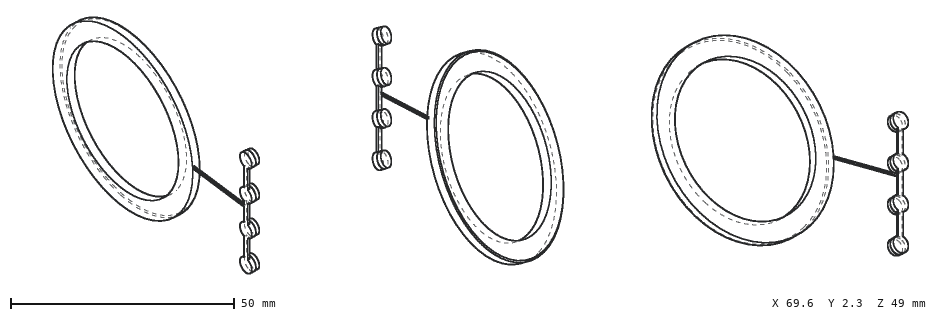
import cadquery as cq

overall_length = 69.6
ring_outer_radius = 24.5
ring_inner_radius = 19.5
thickness = 2.3
bevel_radial = 0.4
bevel_depth = 0.2

pad_radius = 2.1
pad_rear_radius = 2.0
pad_step_depth = 1.25
pad_count = 4
pad_pitch = 10.0
bar_width = 1.3
bar_depth = 0.6
pad_center_x = overall_length - ring_outer_radius - pad_radius
pad_row_height = (pad_count - 1) * pad_pitch

wire_size = 0.5
wire_center_z = 1.6


def make_ring():
    """Revolve the ring section, bevelled on its outer rear edge."""
    section = (
        cq.Workplane("XY")
        .moveTo(ring_inner_radius, 0)
        .lineTo(ring_outer_radius, 0)
        .lineTo(ring_outer_radius, thickness - bevel_depth)
        .lineTo(ring_outer_radius - bevel_radial, thickness)
        .lineTo(ring_inner_radius, thickness)
        .close()
    )
    return section.revolve(360, (0, 0, 0), (0, 1, 0))


def make_discs(radius, depth):
    """Evenly spaced discs from the front plane, centred on the ring's height."""
    discs = cq.Workplane("XZ")
    for index in range(pad_count):
        disc_z = index * pad_pitch - pad_row_height / 2
        discs = discs.moveTo(pad_center_x, disc_z).circle(radius)
    return discs.extrude(-depth)


def make_pads():
    """Stepped pads: a wider front disc with a slightly narrower disc behind it."""
    front_discs = make_discs(pad_radius, pad_step_depth)
    return front_discs.union(make_discs(pad_rear_radius, thickness))


def make_bar():
    """Flat bar running from the lowest pad centre to the highest."""
    return (
        cq.Workplane("XZ")
        .center(pad_center_x, 0)
        .rect(bar_width, pad_row_height)
        .extrude(-bar_depth)
    )


def make_wire():
    """Wire from the middle of the ring's rim to the centre of the bar."""
    start_x = (ring_inner_radius + ring_outer_radius) / 2
    length = pad_center_x - start_x
    return (
        cq.Workplane("XZ")
        .center(start_x + length / 2, wire_center_z)
        .rect(length, wire_size)
        .extrude(-wire_size)
    )


result = make_ring().union(make_pads()).union(make_bar()).union(make_wire())